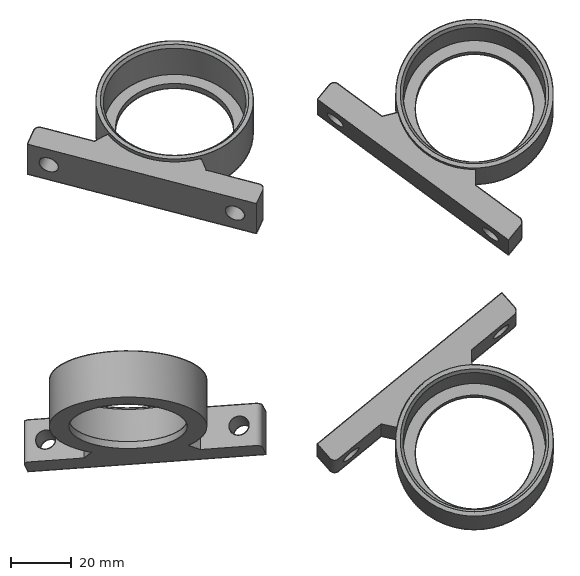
import cadquery as cq

bar_length = 80.0
bar_depth = 8.5
bar_height = 15.0
corner_radius = 2.0

ring_diameter = 52.0
bore_diameter = 47.0
lip_diameter = 39.0
ring_height = 16.5
lip_height = 2.5
mouth_chamfer = 1.0
overall_depth = 59.0
ring_center_y = overall_depth - ring_diameter / 2
mouth_taper_angle = 45

web_bar_width = 39.0
web_ring_width = 32.8
web_end_y = 12.6

hole_diameter = 6.7
hole_spacing = 65.0


def make_bar():
    bar = cq.Workplane("XY").box(bar_length, bar_depth, bar_height, centered=(True, False, False))
    return bar.edges("|Z and >Y").fillet(corner_radius)


def make_web():
    outline = [
        (-web_bar_width / 2, bar_depth),
        (-web_ring_width / 2, web_end_y),
        (0, ring_center_y),
        (web_ring_width / 2, web_end_y),
        (web_bar_width / 2, bar_depth),
        (web_bar_width / 2, 0),
        (-web_bar_width / 2, 0),
    ]
    return cq.Workplane("XY").polyline(outline).close().extrude(bar_height)


def ring_disc(diameter, bottom, height):
    return cq.Workplane("XY", origin=(0, ring_center_y, bottom)).circle(diameter / 2).extrude(height)


def make_ring_cavity():
    through_hole = ring_disc(lip_diameter, 0, ring_height)
    bore = ring_disc(bore_diameter, lip_height, ring_height - lip_height)
    mouth = (
        cq.Workplane("XY", origin=(0, ring_center_y, ring_height))
        .circle(bore_diameter / 2 + mouth_chamfer)
        .extrude(-mouth_chamfer, taper=mouth_taper_angle)
    )
    return through_hole.union(bore).union(mouth)


def make_mounting_holes():
    return (
        cq.Workplane("XZ", origin=(0, 0, bar_height / 2))
        .pushPoints([(-hole_spacing / 2, 0), (hole_spacing / 2, 0)])
        .circle(hole_diameter / 2)
        .extrude(-bar_depth)
    )


body = make_bar().union(make_web()).union(ring_disc(ring_diameter, 0, ring_height))
result = body.cut(make_ring_cavity()).cut(make_mounting_holes())